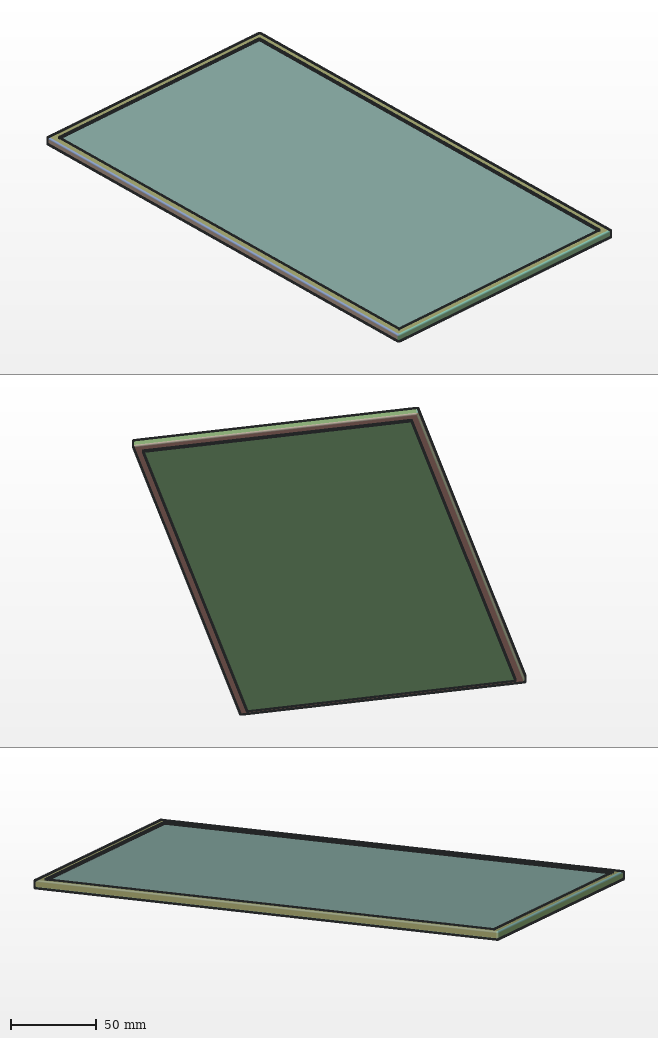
import cadquery as cq

length = 300.0
width = 170.0
height = 6.0

edge_round = 1.0
back_inset = 5.0
back_height = 1.0
frame_height = height - back_height

border = 5.0
recess_depth = 1.0


def inset_plate(inset, thickness, base_z):
    """Rectangular plate set in from the outer sides, with its underside at base_z."""
    return (
        cq.Workplane("XY")
        .workplane(offset=base_z)
        .rect(length - 2 * inset, width - 2 * inset)
        .extrude(thickness)
    )


frame = inset_plate(0, frame_height, back_height).edges().fillet(edge_round)

back_panel = inset_plate(back_inset, back_height + edge_round, 0)

recess = inset_plate(border, recess_depth, height - recess_depth)

result = frame.union(back_panel).cut(recess)